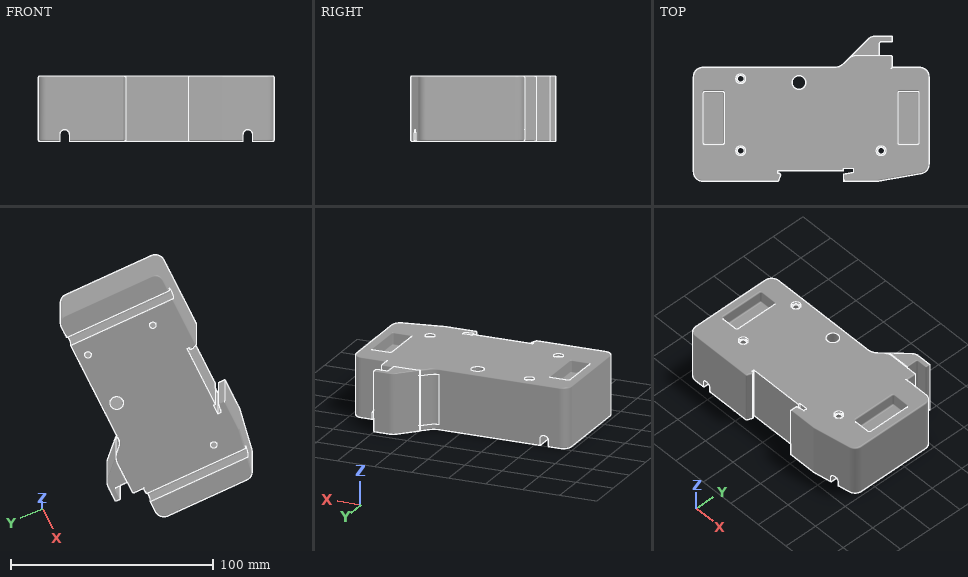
import cadquery as cq
import math

LENGTH = 116.6
DEPTH = 71.8
HEIGHT = 32.4

BACK_Y = 56.4
CORNER_RADIUS = 4.8
EDGE_RADIUS = 0.8
TAPER_START_X = 91.1
TAPER_ANGLE = 10.0

TAB_Y = 62.3
TAB_RIGHT_X = 98.4
RAMP_FOOT_X = 72.4
RAMP_RADIUS = 6.5
TAB_WALL = 3.0

RECESS_LEFT_X = 41.9
RECESS_RIGHT_X = 74.2
RECESS_DEPTH = 5.2
TOOTH_FOOT_X = 42.1
TOOTH_TIP_X = 43.3
TOOTH_TIP_Y = 3.1
TOOTH_TOP_X = 42.7
TOOTH_TOP_Y = 4.1
POCKET_END_X = 79.1
POCKET_TOP_Y = 6.3
POCKET_LIP_Y = 3.6
POCKET_LIP_ANGLE = 10.0

HOOK_FOOT_Y = 61.6
HOOK_WEB_X = 92.0
HOOK_ARM_Y = 68.9
HOOK_TOP_RADIUS = 5.0
HOOK_INNER_RADIUS = 0.7
HOOK_EDGE_RADIUS = 0.6

GRIP_LENGTH = 10.5
GRIP_WIDTH = 26.1
GRIP_DEPTH = 7.2
GRIP_RADIUS = 0.8
GRIP_Y = 31.4
GRIP_XS = (10.1, 106.3)

SCREW_DIAMETER = 3.3
SCREW_HEAD_DIAMETER = 4.9
SCREW_HEAD_DEPTH = 1.4
SCREW_POINTS = [(23.4, 50.7), (23.4, 15.2), (92.8, 15.2)]
BIG_HOLE_DIAMETER = 6.6
BIG_HOLE_POINT = (52.2, 48.9)

CHANNEL_WIDTH = 4.5
CHANNEL_HEIGHT = 5.8
CHANNEL_XS = (13.1, 103.5)


def ramp_x(y):
    """X of the 45 degree ramp line at a given Y."""
    return RAMP_FOOT_X + y - BACK_Y


def vertical_edge(x, y):
    """Selector of the edge along Z that passes through (x, y)."""
    reach = 0.06
    return cq.selectors.BoxSelector(
        (x - reach, y - reach, 0), (x + reach, y + reach, HEIGHT)
    )


def prism(points):
    """Full-height block with the given outline."""
    return cq.Workplane("XY").polyline(points).close().extrude(HEIGHT)


def make_plain_block():
    """Housing outline with its tab and the mouth of the rail recess, sharp at top and bottom."""
    taper_end_y = (LENGTH - TAPER_START_X) * math.tan(math.radians(TAPER_ANGLE))
    tooth_lean = (TOOTH_TIP_X - TOOTH_FOOT_X) / TOOTH_TIP_Y
    mouth_left_x = TOOTH_FOOT_X + tooth_lean * TOOTH_TOP_Y
    tooth_foot = (TOOTH_FOOT_X, 0)
    outer_corners = [(0, 0), (LENGTH, taper_end_y), (LENGTH, BACK_Y), (0, BACK_Y)]
    ramp_corners = [(ramp_x(TAB_Y), TAB_Y), (RAMP_FOOT_X, BACK_Y)]
    tab_corner = (TAB_RIGHT_X, TAB_Y)
    block = prism([
        outer_corners[0],
        tooth_foot,
        (mouth_left_x, TOOTH_TOP_Y),
        (RECESS_RIGHT_X, TOOTH_TOP_Y),
        (RECESS_RIGHT_X, 0),
        (TAPER_START_X, 0),
        outer_corners[1],
        outer_corners[2],
        (TAB_RIGHT_X, BACK_Y),
        tab_corner,
        ramp_corners[0],
        ramp_corners[1],
        outer_corners[3],
    ])
    rounded = [
        (outer_corners, CORNER_RADIUS),
        (ramp_corners, RAMP_RADIUS),
        ([tooth_foot, tab_corner], EDGE_RADIUS),
    ]
    for corners, radius in rounded:
        for x, y in corners:
            block = block.edges(vertical_edge(x, y)).fillet(radius)
    return block


def make_rail_recess():
    """Cutter for the upper part of the rail recess, its tooth and its side pocket."""
    lip_rise = (POCKET_END_X - RECESS_RIGHT_X) * math.tan(math.radians(POCKET_LIP_ANGLE))
    return prism([
        (RECESS_LEFT_X, RECESS_DEPTH),
        (RECESS_LEFT_X, TOOTH_TOP_Y),
        (TOOTH_TOP_X, TOOTH_TOP_Y),
        (TOOTH_TIP_X, TOOTH_TIP_Y),
        (RECESS_RIGHT_X, TOOTH_TIP_Y),
        (RECESS_RIGHT_X, POCKET_LIP_Y),
        (POCKET_END_X, POCKET_LIP_Y + lip_rise),
        (POCKET_END_X, POCKET_TOP_Y),
        (RECESS_RIGHT_X, POCKET_TOP_Y),
        (RECESS_RIGHT_X, RECESS_DEPTH),
    ])


def make_grip_pocket(x):
    """Cutter for one grip pocket with rounded corners and a rounded floor edge."""
    return (
        cq.Workplane("XY", origin=(x, GRIP_Y, HEIGHT - GRIP_DEPTH))
        .rect(GRIP_LENGTH, GRIP_WIDTH)
        .extrude(GRIP_DEPTH)
        .edges("|Z or <Z")
        .fillet(GRIP_RADIUS)
    )


def grip_rim(x):
    """Selector of the top edges of one grip pocket."""
    reach_x = GRIP_LENGTH / 2 + GRIP_RADIUS
    reach_y = GRIP_WIDTH / 2 + GRIP_RADIUS
    reach_z = GRIP_RADIUS / 2
    return cq.selectors.BoxSelector(
        (x - reach_x, GRIP_Y - reach_y, HEIGHT - reach_z),
        (x + reach_x, GRIP_Y + reach_y, HEIGHT + reach_z),
    )


def make_channel(x):
    """Cutter for one channel along the whole depth."""
    radius = CHANNEL_WIDTH / 2
    spring_z = CHANNEL_HEIGHT - radius
    return (
        cq.Workplane("XZ", origin=(x, 0, 0))
        .moveTo(-radius, 0)
        .lineTo(-radius, spring_z)
        .threePointArc((0, CHANNEL_HEIGHT), (radius, spring_z))
        .lineTo(radius, 0)
        .close()
        .extrude(-DEPTH)
    )


def make_tongue_zone():
    """Space inside the tab, between its two walls, that the tongue of the hook fills."""
    return cq.Workplane("XY").box(
        HOOK_WEB_X, TAB_Y - BACK_Y, HEIGHT - 2 * TAB_WALL, centered=False
    ).translate((0, BACK_Y, TAB_WALL))


def make_housing(plain_block):
    """Block with rounded top and bottom edges, and all its recesses and holes."""
    block = plain_block.faces(">Z or <Z").edges().fillet(EDGE_RADIUS)
    housing = block.cut(make_rail_recess()).cut(make_tongue_zone())
    for x in GRIP_XS:
        housing = housing.cut(make_grip_pocket(x))
    for x in GRIP_XS:
        housing = housing.edges(grip_rim(x)).fillet(GRIP_RADIUS)
    for x in CHANNEL_XS:
        housing = housing.cut(make_channel(x))
    top = cq.Workplane("XY", origin=(0, 0, HEIGHT))
    shafts = top.pushPoints(SCREW_POINTS).circle(SCREW_DIAMETER / 2).extrude(-HEIGHT)
    heads = top.pushPoints(SCREW_POINTS).circle(SCREW_HEAD_DIAMETER / 2).extrude(-SCREW_HEAD_DEPTH)
    big_hole = top.pushPoints([BIG_HOLE_POINT]).circle(BIG_HOLE_DIAMETER / 2).extrude(-HEIGHT)
    return housing.cut(shafts).cut(heads).cut(big_hole)


def make_hook(plain_block):
    """Hook seated on the tab, with a tongue that fills the space inside the tab."""
    top_corner = (ramp_x(DEPTH), DEPTH)
    inner_corner = (HOOK_WEB_X, HOOK_ARM_Y)
    tip_corners = [(TAB_RIGHT_X, HOOK_ARM_Y), (TAB_RIGHT_X, DEPTH)]
    hook = prism([
        (ramp_x(HOOK_FOOT_Y), HOOK_FOOT_Y),
        (HOOK_WEB_X, HOOK_FOOT_Y),
        inner_corner,
        tip_corners[0],
        tip_corners[1],
        top_corner,
    ])
    hook = hook.edges(vertical_edge(*top_corner)).fillet(HOOK_TOP_RADIUS)
    hook = hook.edges(vertical_edge(*inner_corner)).fillet(HOOK_INNER_RADIUS)
    for x, y in tip_corners:
        hook = hook.edges(vertical_edge(x, y)).fillet(HOOK_EDGE_RADIUS)
    hook = hook.faces(">Z or <Z").edges("not <Y").fillet(HOOK_EDGE_RADIUS)
    tongue = plain_block.intersect(make_tongue_zone())
    return hook.cut(plain_block).union(tongue)


plain_block = make_plain_block()
housing = make_housing(plain_block)
hook = make_hook(plain_block)

result = cq.Compound.makeCompound([housing.solids().val(), hook.solids().val()])